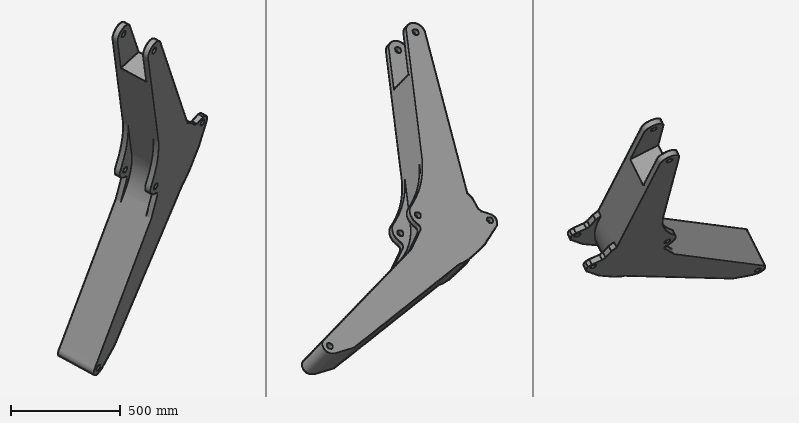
import cadquery as cq

total_width = 200.0
plate_thickness = 29.0
filler_width = total_width - 2 * plate_thickness
gap_length = 5798

pin_diameter = 30.0
top_pin = (483.0, 1885.0)
rear_pin = (868.0, 978.0)
front_pin = (495.0, 891.0)
bottom_pin = (39.0, 39.0)

arm_front_top = (435.0, 1875.0)
arm_front_bottom = (518.0, 1189.0)
arm_rear_top = (532.0, 1900.0)
arm_rear_bottom = (750.0, 1090.0)
boom_front_top = (460.0, 694.0)
boom_front_bottom = (29.0, 90.0)
boom_tip_front = (8.0, 62.0)
boom_tip_lowest = (39.0, 0.0)
boom_tip_rear = (68.0, 8.0)
boom_heel = (166.0, 70.0)
boom_rear_top = (710.0, 690.0)
elbow_rear_low = (727.0, 702.0)
elbow_rear = (763.0, 736.0)

arm_top = (485.0, 1933.0)
tip_front_bulge = (0.0, 39.0)
tip_front_end = (10.0, 14.0)
tip_underside = (21.0, 4.0)
throat_edge_middle = (508.0, 1061.0)
front_lug_top = (462.0, 935.0)
front_lug_nose = (452.0, 897.0)
front_lug_bottom = (472.0, 856.0)
relief_top = (490.0, 843.0)
relief_middle = (506.0, 830.0)
relief_bottom = (506.0, 810.0)
rear_lug_slope = [(839.0, 833.0), (897.0, 945.0)]
rear_lug_nose = (905.0, 976.0)
rear_lug_end = (895.0, 1001.0)
rear_lug_top = [(875.0, 1010.0), (823.0, 1013.0), (805.0, 1022.0), (777.0, 1069.0)]

clevis_floor_front_z = 1662.0
clevis_floor_rear_z = 1637.0
throat_radius = 317.0
elbow_back_middle = (780.0, 928.0)


def at_height(start, end, z):
    """Point at height z on the line through start and end."""
    share = (z - start[1]) / (end[1] - start[1])
    return (start[0] + share * (end[0] - start[0]), z)


def crossing(line_a, line_b):
    """Point where two (y, z) lines meet."""
    (ay, az), (ay_end, az_end) = line_a
    (by, bz), (by_end, bz_end) = line_b
    a_dy, a_dz = ay_end - ay, az_end - az
    b_dy, b_dz = by_end - by, bz_end - bz
    share = ((by - ay) * b_dz - (bz - az) * b_dy) / (a_dy * b_dz - a_dz * b_dy)
    return (ay + share * a_dy, az + share * a_dz)


def add_lines(sketch, points):
    for point in points:
        sketch = sketch.lineTo(*point)
    return sketch


def add_boom(sketch):
    """Front of the boom, round its tip and up its rear to the elbow."""
    sketch = (
        add_lines(sketch, [boom_front_bottom, boom_tip_front])
        .threePointArc(tip_front_bulge, tip_front_end)
        .threePointArc(tip_underside, boom_tip_lowest)
    )
    return add_lines(sketch, [boom_tip_rear, boom_heel, boom_rear_top, elbow_rear_low, elbow_rear])


def centred_extrusion(sketch, width):
    return sketch.close().extrude(width / 2, both=True)


def plate_blank():
    """Side plate outline with its four pin lugs, extruded to the total width."""
    sketch = (
        cq.Workplane("YZ")
        .moveTo(*arm_rear_top)
        .threePointArc(arm_top, arm_front_top)
        .lineTo(*arm_front_bottom)
        .threePointArc(throat_edge_middle, front_lug_top)
        .threePointArc(front_lug_nose, front_lug_bottom)
        .lineTo(*relief_top)
        .threePointArc(relief_middle, relief_bottom)
        .lineTo(*boom_front_top)
    )
    sketch = add_lines(add_boom(sketch), rear_lug_slope)
    sketch = sketch.threePointArc(rear_lug_nose, rear_lug_end)
    sketch = add_lines(sketch, rear_lug_top + [arm_rear_bottom])
    return centred_extrusion(sketch, total_width)


def filler():
    """Solid core between the plates, with an elbow rounded front and back."""
    throat = crossing((arm_front_top, arm_front_bottom), (boom_front_top, boom_front_bottom))
    sketch = (
        cq.Workplane("YZ")
        .moveTo(*at_height(arm_rear_top, arm_rear_bottom, clevis_floor_rear_z))
        .lineTo(*at_height(arm_front_top, arm_front_bottom, clevis_floor_front_z))
        .lineTo(*throat)
        .lineTo(*boom_front_top)
    )
    sketch = add_boom(sketch).threePointArc(elbow_back_middle, arm_rear_bottom)
    core = centred_extrusion(sketch, filler_width)
    throat_edge = cq.selectors.NearestToPointSelector((0, *throat))
    return core.edges(throat_edge).fillet(throat_radius)


def side_plates():
    """Plate blank with everything between the two plates removed."""
    gap = cq.Workplane("XY").box(filler_width, gap_length, gap_length)
    return plate_blank().cut(gap)


def pin_holes():
    pins = [top_pin, rear_pin, front_pin, bottom_pin]
    return (
        cq.Workplane("YZ")
        .pushPoints(pins)
        .circle(pin_diameter / 2)
        .extrude(total_width, both=True)
    )


result = side_plates().union(filler()).cut(pin_holes())